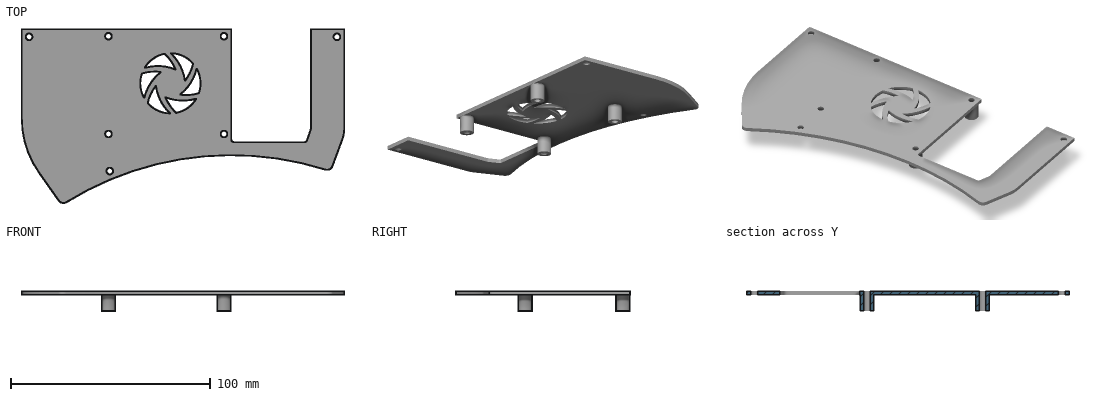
import cadquery as cq
import math

length = 161.8
plate_thickness = 2.0
total_height = 10.0
standoff_height = total_height - plate_thickness

left_bend_start = -44.8
left_bend_radius = 47.0
left_angle = 35.2
right_bend_start = -50.2
right_bend_radius = 14.0
right_angle = 20.3
front_arc_x = 105.2
front_arc_y = -63.3
front_arc_radius = 157.0
corner_radius = 2.9

slot_left = 105.2
slot_right = 145.0
slot_bottom = -56.6
slot_taper_start = -50.2
slot_taper_run = 2.3
slot_corner_radius = 1.3

hole_diameter = 3.2
standoff_diameter = 7.0
rear_corner_holes = [(3.7, -3.9), (158.1, -3.9)]
front_hole = (44.2, -71.2)
standoff_centers = [(x, y) for x in (43.5, 101.5) for y in (-3.5, -52.6)]

vent_center = (74.6, -27.2)
vent_radius = 15.0
window_count = 6
window_tip_radius = 7.5
window_start_angle = 149.0
window_end_angle = 101.0
window_tip_angle = 70.5
spoke_edge_radius = 23.0


def flank_bend(x_edge, y_start, radius, angle, inward):
    """Middle and end of a bend tangent to a vertical side."""
    points = []
    for turn in (math.radians(angle / 2), math.radians(angle)):
        x = x_edge + inward * radius * (1 - math.cos(turn))
        points.append((x, y_start - radius * math.sin(turn)))
    return points


def front_arc_point(x):
    drop = front_arc_radius - math.sqrt(front_arc_radius**2 - (x - front_arc_x)**2)
    return (x, front_arc_y - drop)


def flank_corner(bend_end, angle, inward):
    """Intersection of a straight flank with the front arc."""
    run = inward * math.sin(math.radians(angle))
    fall = -math.cos(math.radians(angle))
    dx = bend_end[0] - front_arc_x
    dy = bend_end[1] - (front_arc_y - front_arc_radius)
    half_slope = dx * run + dy * fall
    outside = dx**2 + dy**2 - front_arc_radius**2
    distance = -half_slope - math.sqrt(half_slope**2 - outside)
    return (bend_end[0] + distance * run, bend_end[1] + distance * fall)


def make_plate():
    left_middle, left_end = flank_bend(0, left_bend_start, left_bend_radius, left_angle, 1)
    right_middle, right_end = flank_bend(
        length, right_bend_start, right_bend_radius, right_angle, -1
    )
    left_corner = flank_corner(left_end, left_angle, 1)
    right_corner = flank_corner(right_end, right_angle, -1)
    plate = (
        cq.Workplane("XY")
        .moveTo(0, 0)
        .lineTo(0, left_bend_start)
        .threePointArc(left_middle, left_end)
        .lineTo(*left_corner)
        .threePointArc(front_arc_point(front_arc_x), right_corner)
        .lineTo(*right_end)
        .threePointArc(right_middle, (length, right_bend_start))
        .lineTo(length, 0)
        .close()
        .extrude(plate_thickness)
    )
    for corner in (left_corner, right_corner):
        nearest = cq.selectors.NearestToPointSelector((*corner, plate_thickness / 2))
        plate = plate.edges("|Z").edges(nearest).fillet(corner_radius)
    return plate


def make_slot():
    return (
        cq.Workplane("XY")
        .moveTo(slot_left, 0)
        .lineTo(slot_left, slot_bottom)
        .lineTo(slot_right - slot_taper_run, slot_bottom)
        .lineTo(slot_right, slot_taper_start)
        .lineTo(slot_right, 0)
        .close()
        .extrude(plate_thickness)
        .edges("|Z and (not >Y)")
        .edges("<Y")
        .fillet(slot_corner_radius)
    )


def polar_point(radius, angle):
    turn = math.radians(angle)
    return (vent_center[0] + radius * math.cos(turn), vent_center[1] + radius * math.sin(turn))


def make_vent_window(rotation):
    start = polar_point(vent_radius, window_start_angle + rotation)
    middle = polar_point(vent_radius, (window_start_angle + window_end_angle) / 2 + rotation)
    end = polar_point(vent_radius, window_end_angle + rotation)
    tip = polar_point(window_tip_radius, window_tip_angle + rotation)
    return (
        cq.Workplane("XY")
        .moveTo(*start)
        .threePointArc(middle, end)
        .radiusArc(tip, spoke_edge_radius)
        .radiusArc(start, -spoke_edge_radius)
        .close()
        .extrude(plate_thickness)
    )


def make_cylinders(centers, diameter, bottom, height):
    return (
        cq.Workplane("XY", origin=(0, 0, bottom))
        .pushPoints(centers)
        .circle(diameter / 2)
        .extrude(height)
    )


result = make_plate().cut(make_slot())
for index in range(window_count):
    result = result.cut(make_vent_window(index * 360 / window_count))

result = result.union(
    make_cylinders(standoff_centers, standoff_diameter, -standoff_height, standoff_height)
)
hole_centers = rear_corner_holes + [front_hole] + standoff_centers
result = result.cut(make_cylinders(hole_centers, hole_diameter, -standoff_height, total_height))